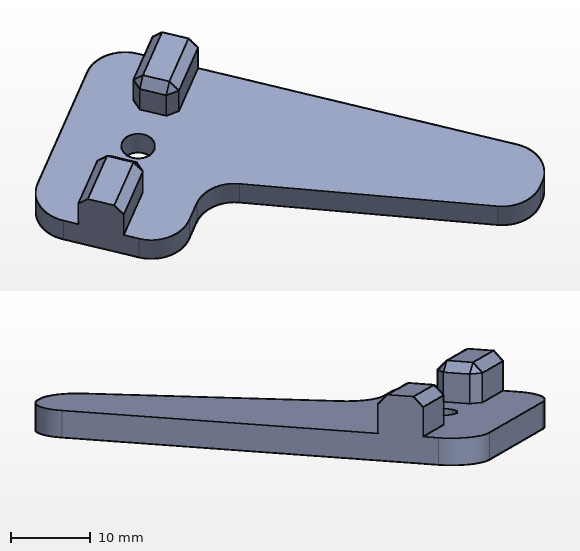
import cadquery as cq

length = 60.0
depth = length / 2
head_width = length / 3
thickness = 3.5
corner_radius = length / 12
arm_root_y = 12.0
arm_tip_y = length / 3

total_height = 8.5
peg_width = 6.0
peg_length = 9.0
peg_chamfer = 1.25

hole_diameter = 4.2
center_x = head_width / 2
center_y = depth / 2


def make_plate():
    outline = [
        (0, 0),
        (head_width, 0),
        (head_width, arm_root_y),
        (length, arm_tip_y),
        (length, depth),
        (0, depth),
    ]
    plate = cq.Workplane("XY").polyline(outline).close().extrude(thickness)
    return plate.edges("|Z").fillet(corner_radius)


def make_front_peg():
    """Bar from the bottom face up, chamfered everywhere but on its outer end."""
    peg = (
        cq.Workplane("XY")
        .box(peg_width, peg_length, total_height, centered=(True, False, False))
        .translate((center_x, 0, 0))
    )
    upper_edges = peg.faces(">Z").edges("|Y or >Y")
    inner_corners = peg.faces(">Y").edges("|Z")
    return peg.newObject(upper_edges.vals() + inner_corners.vals()).chamfer(peg_chamfer)


plate = make_plate()
front_peg = make_front_peg()
back_peg = front_peg.mirror("XZ", (0, center_y, 0))
hole = cq.Workplane("XY").center(center_x, center_y).circle(hole_diameter / 2).extrude(thickness)

result = plate.union(front_peg).union(back_peg).cut(hole)